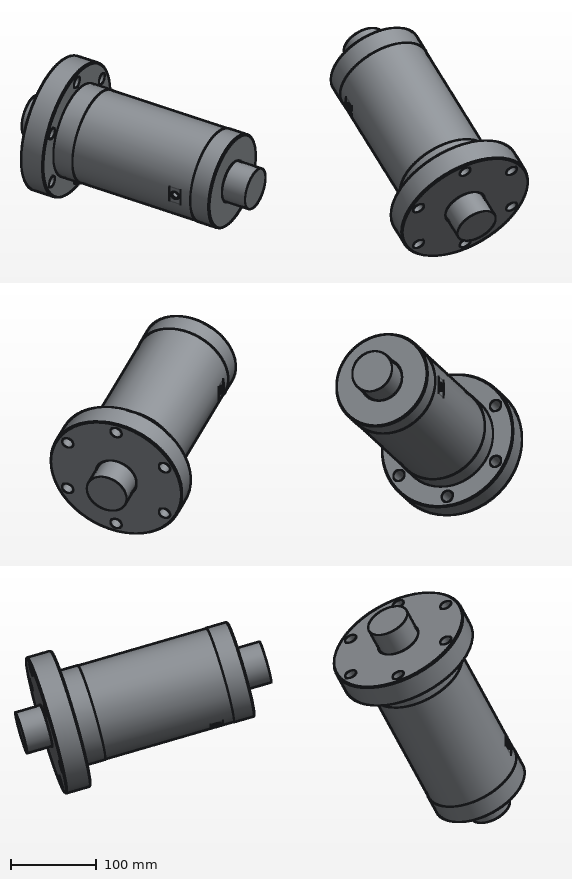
import cadquery as cq
import math

shaft_length = 297.0
shaft_diameter = 50.0
shaft_overhang = 30.0
flange_diameter = 165.0
flange_thickness = 30.0
collar_diameter = 115.0
collar_length = 25.2
barrel_diameter = 114.0
edge_chamfer = 1.2
bore_chamfer = 1.0

bolt_count = 6
bolt_circle_diameter = 140.0
bolt_hole_diameter = 14.0

port_flat_length = 15.0
port_flat_height = 21.0
port_offset = 46.0
port_diameter = 8.3
port_depth = 14.8
port_chamfer = 1.0

shaft_start = -shaft_length / 2
housing_start = shaft_start + shaft_overhang
housing_end = shaft_length / 2 - shaft_overhang
flange_end = housing_start + flange_thickness
barrel_start = flange_end + collar_length
barrel_end = housing_end - collar_length
port_x = housing_end - port_offset
barrel_radius = barrel_diameter / 2
flat_distance = math.sqrt(barrel_radius**2 - (port_flat_height / 2) ** 2)


def cylinder(start, end, diameter):
    """Solid cylinder on the X axis between two axial places."""
    return cq.Workplane("YZ", origin=(start, 0, 0)).circle(diameter / 2).extrude(end - start)


def make_body():
    """Flange, near collar, barrel and far collar, before any cutting."""
    flange = cylinder(housing_start, flange_end, flange_diameter).edges().chamfer(edge_chamfer)
    near_collar = cylinder(flange_end, barrel_start, collar_diameter)
    barrel = cylinder(barrel_start, barrel_end, barrel_diameter)
    far_collar = cylinder(barrel_end, housing_end, collar_diameter)
    far_collar = far_collar.faces(">X").edges().chamfer(edge_chamfer)
    return flange.union(near_collar).union(barrel).union(far_collar)


def make_bore():
    """Through bore fitting the shaft, with a chamfered mouth at both ends."""
    bore_radius = shaft_diameter / 2
    mouth_radius = bore_radius + bore_chamfer
    return (
        cq.Workplane("XY")
        .moveTo(housing_start, 0)
        .lineTo(housing_start, mouth_radius)
        .lineTo(housing_start + bore_chamfer, bore_radius)
        .lineTo(housing_end - bore_chamfer, bore_radius)
        .lineTo(housing_end, mouth_radius)
        .lineTo(housing_end, 0)
        .close()
        .revolve(360, (0, 0, 0), (1, 0, 0))
    )


def make_bolt_holes():
    """Ring of holes through the flange, the first one on the Z axis."""
    return (
        cq.Workplane("YZ", origin=(housing_start, 0, 0))
        .polarArray(bolt_circle_diameter / 2, 90, 360, bolt_count)
        .circle(bolt_hole_diameter / 2)
        .extrude(flange_thickness)
    )


def make_port(side):
    """Flat spot with a chamfered blind hole, on the +Y (side=1) or -Y (side=-1) face."""
    flat_y = side * flat_distance
    flat_plane = cq.Plane(origin=(port_x, flat_y, 0), xDir=(1, 0, 0), normal=(0, side, 0))
    flat = cq.Workplane(flat_plane).rect(port_flat_length, port_flat_height).extrude(barrel_radius)
    hole = cq.Workplane(flat_plane).circle(port_diameter / 2).extrude(-port_depth)
    mouth_radius = port_diameter / 2 + port_chamfer
    mouth = cq.Solid.makeCone(
        mouth_radius, port_diameter / 2, port_chamfer, cq.Vector(port_x, flat_y, 0), cq.Vector(0, -side, 0)
    )
    return flat.union(hole).union(cq.Workplane(mouth))


def make_housing():
    """Flanged housing with bore, bolt holes and two opposite ports."""
    housing = make_body().cut(make_bore()).cut(make_bolt_holes())
    for side in (-1, 1):
        housing = housing.cut(make_port(side))
    return housing


def make_shaft():
    """Plain shaft running right through the housing."""
    return cylinder(shaft_start, shaft_start + shaft_length, shaft_diameter)


housing = make_housing()
shaft = make_shaft()

result = cq.Compound.makeCompound([housing.val(), shaft.val()])